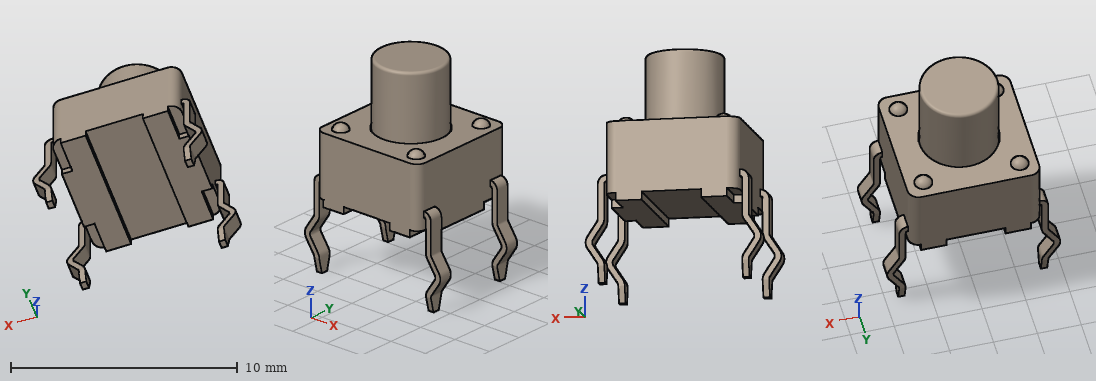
import cadquery as cq
import math

TOTAL_HEIGHT = 10.55
LEAD_SPAN = 7.89

BODY_SIDE = 6.0
BODY_BOTTOM = 3.56
BODY_TOP = 7.14
CORNER_RADIUS = 0.5

RECESS_HEIGHT = 0.36
CHANNEL_WIDTH = 2.68
CORNER_NOTCH_Y = 1.54

PLUNGER_DIAMETER = 3.5
PLUNGER_EDGE_RADIUS = 0.15
OPENING_DIAMETER = 3.6
OPENING_DEPTH = 0.3

RIVET_DIAMETER = 0.8
RIVET_HEIGHT = 0.3
RIVET_OFFSET = 2.19

LEAD_THICKNESS = 0.3
LEAD_WIDTH = 0.72
LEAD_TIP_WIDTH = 0.36
LEAD_TAPER_HEIGHT = 0.75
LEAD_X = 3.25
LEAD_Y = 2.24
LEAD_TOP = 4.82
LEAD_INNER_END = 2.53
SHOULDER_RADIUS = 0.25
KINK_RADIUS = 0.35
KINK_ANGLE = math.radians(33.4)
KINK_Z = 1.8

CORNER_SIGNS = [(sx, sy) for sx in (-1, 1) for sy in (-1, 1)]


def make_body():
    height = BODY_TOP - BODY_BOTTOM
    body = cq.Workplane("XY").workplane(offset=BODY_BOTTOM).rect(BODY_SIDE, BODY_SIDE).extrude(height)
    body = body.edges("|Z").fillet(CORNER_RADIUS)

    underside = cq.Workplane("XY").workplane(offset=BODY_BOTTOM)
    body = body.cut(underside.rect(CHANNEL_WIDTH, BODY_SIDE).extrude(RECESS_HEIGHT))

    notch_centers = [
        (sx * (BODY_SIDE - CORNER_RADIUS) / 2, sy * (BODY_SIDE - CORNER_NOTCH_Y) / 2)
        for sx, sy in CORNER_SIGNS
    ]
    notches = underside.pushPoints(notch_centers).rect(CORNER_RADIUS, CORNER_NOTCH_Y)
    body = body.cut(notches.extrude(RECESS_HEIGHT))

    opening = cq.Workplane("XY").workplane(offset=BODY_TOP - OPENING_DEPTH)
    return body.cut(opening.circle(OPENING_DIAMETER / 2).extrude(OPENING_DEPTH))


def make_plunger():
    base = BODY_TOP - OPENING_DEPTH
    plunger = cq.Workplane("XY").workplane(offset=base).circle(PLUNGER_DIAMETER / 2)
    return plunger.extrude(TOTAL_HEIGHT - base).faces(">Z").edges().fillet(PLUNGER_EDGE_RADIUS)


def make_rivet(x, y):
    base_radius = RIVET_DIAMETER / 2
    sphere_radius = (base_radius**2 + RIVET_HEIGHT**2) / (2 * RIVET_HEIGHT)
    sphere_center_z = BODY_TOP + RIVET_HEIGHT - sphere_radius
    sphere = cq.Workplane("XY").sphere(sphere_radius).translate((x, y, sphere_center_z))
    above_top = cq.Workplane("XY", origin=(x, y, BODY_TOP)).rect(2 * RIVET_DIAMETER, 2 * RIVET_DIAMETER)
    return sphere.intersect(above_top.extrude(RIVET_DIAMETER))


def bend_ends(before, corner, after, radius):
    """Tangent points of an arc that rounds a corner of the lead's middle line."""
    corner, before, after = (cq.Vector(*point) for point in (corner, before, after))
    arriving = (corner - before).normalized()
    leaving = (after - corner).normalized()
    setback = radius * math.tan(arriving.getAngle(leaving) / 2)
    start = corner - arriving * setback
    end = corner + leaving * setback
    return (start.x, start.y), (end.x, end.y)


def make_lead():
    crest_x = (LEAD_SPAN - LEAD_THICKNESS) / 2
    kink_x = crest_x + KINK_RADIUS * (1 / math.cos(KINK_ANGLE) - 1)
    kink_half_height = (kink_x - LEAD_X) / math.tan(KINK_ANGLE)
    shoulder_z = LEAD_TOP - LEAD_THICKNESS / 2
    corners = [
        (LEAD_INNER_END, shoulder_z),
        (LEAD_X, shoulder_z),
        (LEAD_X, KINK_Z + kink_half_height),
        (kink_x, KINK_Z),
        (LEAD_X, KINK_Z - kink_half_height),
        (LEAD_X, 0),
    ]
    radii = [SHOULDER_RADIUS, KINK_RADIUS, KINK_RADIUS, KINK_RADIUS]

    path = cq.Workplane("XZ").moveTo(*corners[0])
    for before, corner, after, radius in zip(corners, corners[1:], corners[2:], radii):
        start, end = bend_ends(before, corner, after, radius)
        path = path.lineTo(*start).tangentArcPoint(end, relative=False)
    path = path.lineTo(*corners[-1])

    section = cq.Workplane("YZ", origin=(LEAD_INNER_END, 0, shoulder_z)).rect(LEAD_WIDTH, LEAD_THICKNESS)
    strip = section.sweep(path)

    half_width = LEAD_WIDTH / 2
    half_tip = LEAD_TIP_WIDTH / 2
    silhouette = cq.Workplane("YZ").polyline([
        (-half_tip, 0),
        (half_tip, 0),
        (half_width, LEAD_TAPER_HEIGHT),
        (half_width, LEAD_TOP),
        (-half_width, LEAD_TOP),
        (-half_width, LEAD_TAPER_HEIGHT),
    ]).close().extrude(LEAD_SPAN / 2)
    return strip.intersect(silhouette)


result = make_body().union(make_plunger())

right_lead = make_lead()
left_lead = right_lead.mirror("YZ")
for side_x, side_y in CORNER_SIGNS:
    result = result.union(make_rivet(side_x * RIVET_OFFSET, side_y * RIVET_OFFSET))
    lead = right_lead if side_x > 0 else left_lead
    result = result.union(lead.translate((0, side_y * LEAD_Y, 0)))